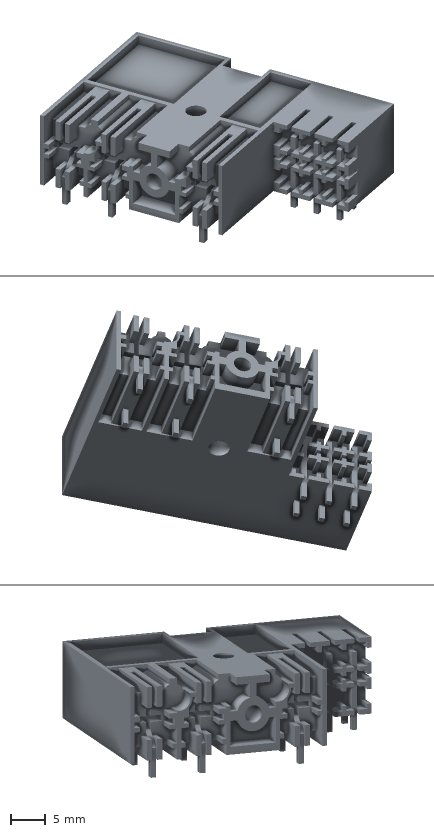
import cadquery as cq
BODY_W = 30.36
BODY_D = 28.3
BODY_H = 11.5
TOTAL_W = 42.88
SHELL_D = 2.6
SIDE_WALL = 0.65
PITCH = 7.62
MID_X = BODY_W / 2 + PITCH / 2
MID_Z = BODY_H / 2

CHAMBER_X = [MID_X - 2 * PITCH, MID_X - PITCH, MID_X + PITCH]
CHAMBER_HALF = 3.1
GROOVE_END = 11.72
GROOVE_TOP_Z = 9.8
GROOVE_LOW_Z = 1.7
TONGUE_W = 2.34
TONGUE_H = 3.1
TONGUE_MARGIN = 0.25
PIN_W = 0.78
PIN_DROP = 2.5

SLOT_LOW_Z = 5.3
SLOT_TOP_Z = 6.22
SLOT_HALF = 2.13
SLOT_END = 6.75
LEDGE_HALF_GAP = 2.3
LEDGE_LOW_Z = 4.65
LEDGE_TOP_Z = 7.0

DIVIDER_X = [CHAMBER_X[0] + PITCH / 2, CHAMBER_X[1] + PITCH / 2, CHAMBER_X[2] - PITCH / 2]
DIVIDER_W = 0.65
DIVIDER_TOP_Z = 7.35
LEDGE_REACH = PITCH / 2 - LEDGE_HALF_GAP
CHANNEL_Z = 9.0
CHANNEL_R = 1.74
CHANNEL_WALL_R = 2.02
CAP_W = 1.16
LINK_LOW_Z = 9.15
BUMP_REACH = 0.97
BUMP_H = 0.75

CONTACT_FRONT = 0.52
CONTACT_BACK = 9.17
LEG_D = 1.03
RAMP_LOW_Z = 1.94
RAMP_TOP_Z = 4.13
RAMP_END = 2.85

BOSS_R = 2.55
BOSS_BORE_R = 1.3
BOSS_BORE_D = 8.0
BOSS_ARM_H = 1.4
WEB_W = 1.04
TOP_PLATE_W = 5.22
TOP_PLATE_H = 1.13
BOX_FLOOR = 1.17
NOTCH_W = 6.5
NOTCH_D = 2.5

POCKET_MARGIN = 0.78
POCKET_FRONT = 12.5
POCKET_DEPTH = 1.5
POCKET_GAP_HALF = 3.8
HOLE_Y = 12.28
HOLE_D = 3.1

BANK_FRONT = 15.0
BANK_DEPTH = 2.6
BANK_PITCH = 3.81
BANK_FIRST_X = 33.0
BANK_X = [BANK_FIRST_X + i * BANK_PITCH for i in range(3)]
BANK_OPENING = 3.2
BANK_ROWS = [(0.76, 4.23), (4.87, 6.55), (7.2, 10.8)]
BANK_GAPS = [(1.52, 3.7), (5.4, 6.0), (7.7, 9.9)]
BANK_CONTACT_FRONT = 16.1
BANK_CONTACT_BACK = 20.67
BANK_CONTACT_TOP = 9.16
BANK_WINDOW_Z = 7.2
BANK_POST_D = 0.9
BANK_LEG_D = 0.77


def box(x0, x1, y0, y1, z0, z1):
    return cq.Workplane("XY").box(x1 - x0, y1 - y0, z1 - z0, centered=False).translate((x0, y0, z0))


def centered_box(x, width, y0, y1, z0, z1):
    return box(x - width / 2, x + width / 2, y0, y1, z0, z1)


def rod(x, z, radius, y0, y1):
    return cq.Workplane("XZ", origin=(x, y0, z)).circle(radius).extrude(y0 - y1)


def housing():
    block = box(0, BODY_W, SHELL_D, BODY_D, 0, BODY_H)
    block = block.union(box(BODY_W, TOTAL_W, BANK_FRONT, BODY_D, 0, BODY_H))
    for x in (0, BODY_W - SIDE_WALL):
        block = block.union(box(x, x + SIDE_WALL, 0, SHELL_D, 0, BODY_H))
    return block


def chamber_span(x, wall):
    """Side limits of one chamber, where neighbouring chambers are a given wall apart."""
    half = (PITCH - wall) / 2
    return max(x - half, SIDE_WALL), min(x + half, BODY_W - SIDE_WALL)


def cut_grooves(part):
    for x in CHAMBER_X:
        left, right = chamber_span(x, CAP_W)
        part = part.cut(box(left, right, SHELL_D, GROOVE_END, GROOVE_TOP_Z, BODY_H))
        left, right = chamber_span(x, DIVIDER_W)
        part = part.cut(box(left, right, SHELL_D, GROOVE_END, 0, GROOVE_LOW_Z))
    for x in DIVIDER_X:
        part = part.union(rod(x, CHANNEL_Z, CHANNEL_R, SHELL_D, GROOVE_END))
    return part


def add_tongues(part):
    for x in CHAMBER_X:
        for z in (TONGUE_MARGIN, BODY_H - TONGUE_MARGIN - TONGUE_H):
            part = part.union(centered_box(x, TONGUE_W, 0, GROOVE_END, z, z + TONGUE_H))
    return part


def divider_side(x, direction):
    """Ledge and rib on one side of a wall standing at x."""
    def reach(length, z0, z1):
        return box(min(x, x + direction * length), max(x, x + direction * length), 0, SHELL_D, z0, z1)

    ledge = reach(LEDGE_REACH, LEDGE_LOW_Z, LEDGE_TOP_Z)
    return ledge.union(reach(BUMP_REACH, GROOVE_LOW_Z, GROOVE_LOW_Z + BUMP_H))


def channel_side(x):
    """Lower right quarter of the round channel, linked to the next tongue."""
    quarter = rod(x, CHANNEL_Z, CHANNEL_WALL_R, 0, SHELL_D)
    quarter = quarter.intersect(box(x, x + PITCH, 0, SHELL_D, 0, GROOVE_TOP_Z))
    quarter = quarter.union(box(x, x + LEDGE_REACH, 0, SHELL_D, LEDGE_LOW_Z, CHANNEL_Z))
    link_end = x + (PITCH - TONGUE_W) / 2
    quarter = quarter.union(box(x, link_end, 0, SHELL_D, LINK_LOW_Z, GROOVE_TOP_Z))
    return quarter.cut(rod(x, CHANNEL_Z, CHANNEL_R, 0, SHELL_D))


def add_dividers(part):
    first, second, third = DIVIDER_X
    for x in DIVIDER_X:
        wall = centered_box(x, DIVIDER_W, 0, SHELL_D, 0, DIVIDER_TOP_Z)
        wall = wall.cut(rod(x, CHANNEL_Z, CHANNEL_R, 0, SHELL_D))
        if x != first:
            wall = wall.cut(box(x - DIVIDER_W, x, 0, SHELL_D, CHANNEL_Z - CHANNEL_R, DIVIDER_TOP_Z))
        part = part.union(wall)
    for x in (first, second):
        part = part.union(divider_side(x, -1))
    for x in (first, third):
        part = part.union(divider_side(x, 1)).union(channel_side(x))
    outer_gap = CHAMBER_HALF - LEDGE_HALF_GAP
    for x in (SIDE_WALL, BODY_W - SIDE_WALL - outer_gap):
        part = part.union(box(x, x + outer_gap, 0, SHELL_D, LEDGE_LOW_Z, LEDGE_TOP_Z))
    return part


def cut_crossbar_slots(part):
    for x in CHAMBER_X:
        part = part.cut(centered_box(x, 2 * CHAMBER_HALF, 0, SHELL_D, SLOT_LOW_Z, SLOT_TOP_Z))
        part = part.cut(centered_box(x, 2 * SLOT_HALF, SHELL_D, SLOT_END, SLOT_LOW_Z, SLOT_TOP_Z))
        part = part.cut(centered_box(x, PIN_W, 0, CONTACT_BACK, 0, BODY_H))
    return part


def add_boss(part):
    left, right = DIVIDER_X[1], DIVIDER_X[2]
    arm_low = MID_Z - BOSS_ARM_H / 2
    arm_top = MID_Z + BOSS_ARM_H / 2
    part = part.union(box(left, right, 0, SHELL_D, arm_low, arm_top))
    part = part.union(box(left, right, 0, SHELL_D, 0, BOX_FLOOR))
    part = part.union(centered_box(MID_X, WEB_W, 0, SHELL_D, MID_Z, BODY_H))
    part = part.union(centered_box(MID_X, TOP_PLATE_W, 0, SHELL_D, BODY_H - TOP_PLATE_H, BODY_H))
    part = part.cut(centered_box(MID_X, NOTCH_W, BODY_D - NOTCH_D, BODY_D, arm_top, BODY_H))
    part = part.union(rod(MID_X, MID_Z, BOSS_R, 0, BODY_D))
    return part.cut(rod(MID_X, MID_Z, BOSS_BORE_R, 0, BOSS_BORE_D))


def cut_pockets(part):
    spans = [
        (POCKET_MARGIN, MID_X - POCKET_GAP_HALF),
        (MID_X + POCKET_GAP_HALF, BODY_W - POCKET_MARGIN),
    ]
    for x0, x1 in spans:
        part = part.cut(box(x0, x1, POCKET_FRONT, BODY_D - POCKET_MARGIN, BODY_H - POCKET_DEPTH, BODY_H))
    hole = cq.Workplane("XY").center(MID_X, HOLE_Y).circle(HOLE_D / 2).extrude(BODY_H)
    return part.cut(hole)


def large_contact(x):
    outline = [
        (CONTACT_FRONT, -PIN_DROP),
        (CONTACT_FRONT, RAMP_LOW_Z),
        (RAMP_END, RAMP_TOP_Z),
        (SLOT_END, RAMP_TOP_Z),
        (SLOT_END, SLOT_TOP_Z),
        (CONTACT_BACK, SLOT_TOP_Z),
        (CONTACT_BACK, -PIN_DROP),
        (CONTACT_BACK - LEG_D, -PIN_DROP),
        (CONTACT_BACK - LEG_D, TONGUE_MARGIN),
        (CONTACT_FRONT + LEG_D, TONGUE_MARGIN),
        (CONTACT_FRONT + LEG_D, -PIN_DROP),
    ]
    return cq.Workplane("YZ", origin=(x - PIN_W / 2, 0, 0)).polyline(outline).close().extrude(PIN_W)


def cut_bank(part):
    back = BANK_FRONT + BANK_DEPTH
    for z0, z1 in BANK_GAPS:
        part = part.cut(box(BODY_W, TOTAL_W, BANK_FRONT, back, z0, z1))
    for x in BANK_X:
        for z0, z1 in BANK_ROWS:
            part = part.cut(centered_box(x, BANK_OPENING, BANK_FRONT, back, z0, z1))
        part = part.cut(centered_box(x, PIN_W, BANK_FRONT, BANK_CONTACT_BACK, 0, BODY_H))
    return part


def small_contact(x):
    front, back = BANK_CONTACT_FRONT, BANK_CONTACT_BACK
    contact = centered_box(x, PIN_W, front, back, 0, BANK_CONTACT_TOP)
    window_top = BANK_CONTACT_TOP - BANK_LEG_D
    window = centered_box(x, PIN_W, front + BANK_POST_D, back - BANK_POST_D, BANK_WINDOW_Z, window_top)
    contact = contact.cut(window)
    for y in (front, back - BANK_LEG_D):
        contact = contact.union(centered_box(x, PIN_W, y, y + BANK_LEG_D, -PIN_DROP, 0))
    return contact


result = housing()
result = cut_grooves(result)
result = add_tongues(result)
result = add_dividers(result)
result = cut_crossbar_slots(result)
result = add_boss(result)
result = cut_pockets(result)
result = cut_bank(result)
for contact_x in CHAMBER_X:
    result = result.union(large_contact(contact_x))
for contact_x in BANK_X:
    result = result.union(small_contact(contact_x))